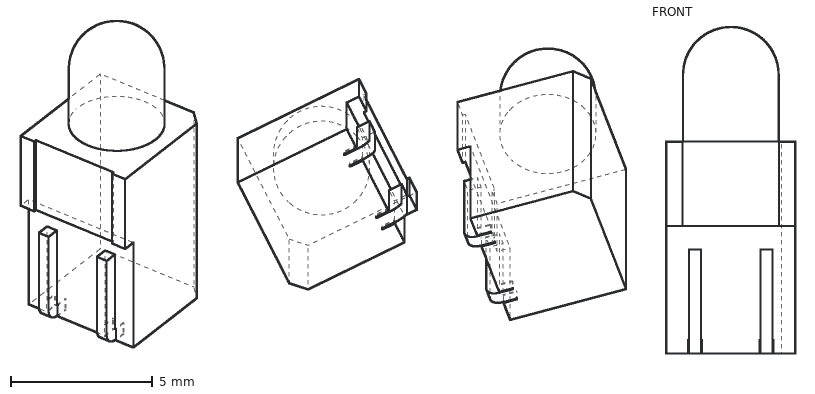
import cadquery as cq

total_height = 11.55
housing_width = 4.57
total_depth = 4.8
housing_height = 7.5
back_y = 2.17
corner_chamfer = 0.5

pin_front_y = back_y - total_depth
pin_proud = 0.01
housing_front_y = pin_front_y + pin_proud
overhang = 0.49
overhang_bottom_z = 4.5
set_back_y = housing_front_y + overhang
recess_depth = 0.1

lens_diameter = 3.4
lens_radius = lens_diameter / 2
lens_tip_base_z = total_height - lens_radius

pin_spacing = 2.54
pin_width = 0.43
pin_top_z = 3.67
bend_radius = set_back_y - pin_front_y

groove_side_gap = 0.03
groove_width = pin_width + 2 * groove_side_gap
groove_height = 0.47
groove_depth = 0.5
groove_end_y = set_back_y + groove_depth


def box_between(x_centre, width, y_front, y_back, z_bottom, z_top):
    """Box of the given width about x_centre, between the given Y and Z limits."""
    return (
        cq.Workplane("XY", origin=(x_centre, (y_front + y_back) / 2, z_bottom))
        .rect(width, y_back - y_front)
        .extrude(z_top - z_bottom)
    )


def make_housing():
    """Block with one chamfered back corner, a set-back lower front and a recessed upper front."""
    block = box_between(0, housing_width, housing_front_y, back_y, 0, housing_height)
    block = block.edges("|Z and >X and >Y").chamfer(corner_chamfer)
    set_back = box_between(0, housing_width, housing_front_y, set_back_y, 0, overhang_bottom_z)
    recess_back_y = housing_front_y + recess_depth
    recess = box_between(
        0, lens_diameter, housing_front_y, recess_back_y, overhang_bottom_z, housing_height
    )
    return block.cut(set_back).cut(recess)


def make_lens():
    """Cylinder standing on the housing, closed by a ball of the same radius."""
    cylinder = (
        cq.Workplane("XY", origin=(0, 0, housing_height))
        .circle(lens_radius)
        .extrude(lens_tip_base_z - housing_height)
    )
    ball = cq.Workplane("XY", origin=(0, 0, lens_tip_base_z)).sphere(lens_radius)
    return cylinder.union(ball)


def make_groove(x):
    """Clearance around the foot of the pin at x."""
    return box_between(x, groove_width, set_back_y, groove_end_y, 0, groove_height)


def make_pin(x):
    """Strip on the set-back face, rounded at its foot and running back to the end of its groove."""
    return (
        cq.Workplane("YZ", origin=(x - pin_width / 2, 0, 0))
        .moveTo(groove_end_y, 0)
        .lineTo(groove_end_y, groove_height)
        .lineTo(set_back_y, groove_height)
        .lineTo(set_back_y, pin_top_z)
        .lineTo(pin_front_y, pin_top_z)
        .lineTo(pin_front_y, bend_radius)
        .radiusArc((set_back_y, 0), -bend_radius)
        .close()
        .extrude(pin_width)
    )


result = make_housing().union(make_lens())
for pin_x in (-pin_spacing / 2, pin_spacing / 2):
    result = result.cut(make_groove(pin_x)).union(make_pin(pin_x))